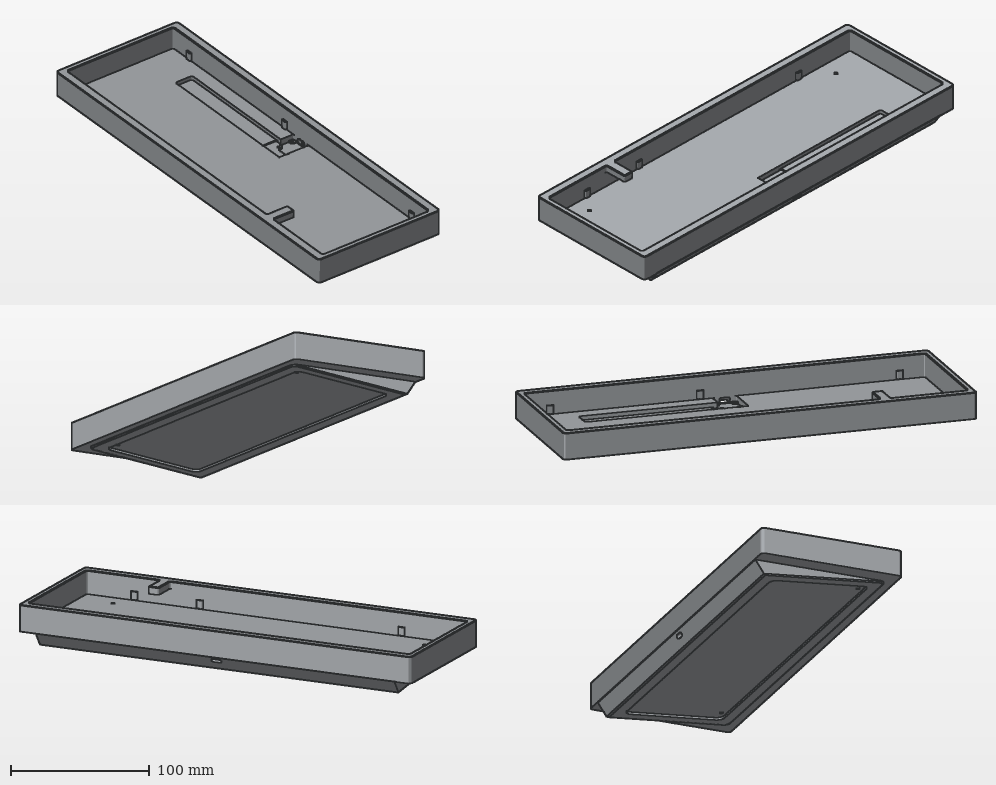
import cadquery as cq
import math

length = 314.8
width = 110.2
body_height = 20.0
corner_radius = 2.8
top_chamfer = 0.47

side_wall = 4.7
long_wall = 7.2
floor_thickness = 2.8
cavity_radius = 2.0
rim_chamfer = 0.5
rim_chamfer_angle = 45
cavity_length = length - 2 * side_wall
cavity_width = width - 2 * long_wall
cavity_depth = body_height - floor_thickness
cavity_rear = cavity_width / 2

foot_length = 287.7
foot_depth = 10.7
foot_front = -48.0
foot_front_depth = 1.1
foot_low_rear = 47.2
foot_rear = 54.5
foot_corner_radius = 5.0
foot_edge_chamfer = 1.0
foot_slope_drop = foot_depth - foot_front_depth
foot_slope_run = foot_low_rear - foot_front
foot_tilt = math.degrees(math.atan2(foot_slope_drop, foot_slope_run))

recess_margin = 9.5
recess_depth = 2.0

block_x = 90.0
block_width = 8.2
block_length = 18.5
block_thickness = 5.7
block_radius = 1.3

bump_width = 5.0
bump_reach = 1.5
bump_height = 6.3
bump_radius = 1.0
rear_bump_x = (-133.0, -19.0, 133.0)
front_bump_x = (-100.0, 61.7, 114.3)

floor_hole_diameter = 2.5
floor_hole_x = 125.0
floor_hole_y = -34.3

channel_left = -115.2
channel_front = 21.5
channel_rear = 36.5
channel_depth = 3.8
channel_radius = 2.0
ledge_left = -14.5
ledge_depth = 4.7
pocket_half_width = 9.0
pocket_corner_radius = 1.3
pocket_front = 31.0
pocket_depth = 5.7

pad_width = 4.0
pad_rear_length = 4.0
pad_front_length = 4.7
pad_radius = 1.5
screw_hole_diameter = 1.6
screw_hole_x = 7.2
screw_hole_y = (33.0, 45.3)
screw_hole_depth = 2.0

port_width = 8.2
port_height = 3.0
port_length = 15.7
port_drop = 3.0


def block(x0, x1, y0, y1, z0, z1):
    """Box between two opposite corners."""
    return cq.Workplane("XY").box(x1 - x0, y1 - y0, z1 - z0, centered=False).translate((x0, y0, z0))


def make_body():
    body = cq.Workplane("XY").rect(length, width).extrude(body_height)
    return body.edges("|Z").fillet(corner_radius).faces(">Z").edges().chamfer(top_chamfer)


def make_foot():
    profile = [
        (foot_front, -foot_front_depth),
        (foot_low_rear, -foot_depth),
        (foot_rear, 0),
        (foot_rear, floor_thickness),
        (foot_front, floor_thickness),
    ]
    foot = cq.Workplane("YZ").polyline(profile).close().extrude(foot_length / 2, both=True)
    outline = block(-foot_length / 2, foot_length / 2, foot_front, width / 2, -foot_depth, floor_thickness)
    foot = foot.intersect(outline.edges("|Z and <Y").fillet(foot_corner_radius))
    slope_normal = cq.Vector(0, -foot_slope_drop, -foot_slope_run)
    slope_face = cq.selectors.DirectionMinMaxSelector(slope_normal, True)
    return foot.faces(slope_face).edges().chamfer(foot_edge_chamfer)


def make_recess():
    slope_length = math.hypot(foot_slope_drop, foot_slope_run)
    recess = (
        cq.Workplane("XY")
        .rect(foot_length - 2 * recess_margin, slope_length - 2 * recess_margin)
        .extrude(2 * recess_depth)
        .edges("|Z")
        .fillet(foot_corner_radius)
        .translate((0, 0, -recess_depth))
        .rotate((0, 0, 0), (1, 0, 0), -foot_tilt)
    )
    return recess.translate((0, (foot_front + foot_low_rear) / 2, -(foot_front_depth + foot_depth) / 2))


def make_cavity():
    cavity = (
        cq.Workplane("XY", origin=(0, 0, floor_thickness))
        .rect(cavity_length, cavity_width)
        .extrude(cavity_depth)
        .edges("|Z")
        .fillet(cavity_radius)
    )
    front_block = block(
        block_x - block_width / 2, block_x + block_width / 2,
        -width / 2, block_length - cavity_rear, body_height - block_thickness, body_height,
    )
    cavity = cavity.cut(front_block)
    block_edges = cq.selectors.BoxSelector(
        (block_x - block_width, -width / 2, 0),
        (block_x + block_width, block_length - cavity_rear + block_radius, body_height),
    )
    cavity = cavity.edges("|Z").edges(block_edges).fillet(block_radius)
    rim = cavity.faces(">Z").wires().toPending().extrude(rim_chamfer, taper=-rim_chamfer_angle)
    return cavity.union(rim.translate((0, 0, -rim_chamfer)))


def make_bump(x, side):
    """Bump on the rear (side = 1) or front (side = -1) wall."""
    bump = block(-bump_width / 2, bump_width / 2, -bump_reach, bump_reach, 0, bump_height)
    bump = bump.edges("|Z").fillet(bump_radius)
    return bump.translate((x, side * cavity_rear, floor_thickness))


def make_pocket():
    top = floor_thickness
    bottom = top - pocket_depth
    pocket = block(-pocket_half_width, pocket_half_width, pocket_front, cavity_rear, bottom, top)
    pocket = pocket.edges("|Z and >Y").fillet(pocket_corner_radius)
    pad_top = top - ledge_depth
    for side in (-1, 1):
        for y, pad_length in ((pocket_front, pad_front_length), (cavity_rear, pad_rear_length)):
            pad = (
                cq.Workplane("XY", origin=(0, 0, bottom))
                .rect(2 * pad_width, 2 * pad_length)
                .extrude(pad_top - bottom)
                .edges("|Z")
                .fillet(pad_radius)
            )
            pocket = pocket.cut(pad.translate((side * pocket_half_width, y, 0)))
    return pocket.edges("|Z and <Y").fillet(pocket_corner_radius)


def make_screw_holes():
    points = [(side * screw_hole_x, y) for side in (-1, 1) for y in screw_hole_y]
    holes = cq.Workplane("XY", origin=(0, 0, floor_thickness - ledge_depth)).pushPoints(points)
    return holes.circle(screw_hole_diameter / 2).extrude(-screw_hole_depth)


def make_channel():
    top = floor_thickness
    channel = block(channel_left, pocket_half_width, channel_front, channel_rear, top - channel_depth, top)
    channel = channel.edges("|Z and <X").fillet(channel_radius)
    ledge = block(ledge_left, pocket_half_width, channel_front, channel_rear, top - ledge_depth, top)
    ledge = ledge.edges("|Z and <X").fillet(channel_radius)
    return channel.union(ledge)


def make_port():
    """Slot running square to the sloping rear face of the foot."""
    port = cq.Workplane("XZ").slot2D(port_width, port_height).extrude(-port_length)
    port = port.translate((0, -port_length / 2, 0))
    descent = math.degrees(math.atan2(foot_rear - foot_low_rear, foot_depth))
    port = port.rotate((0, 0, 0), (1, 0, 0), -descent)
    face_y = foot_rear - port_drop * (foot_rear - foot_low_rear) / foot_depth
    return port.translate((0, face_y, -port_drop))


def make_floor_holes():
    points = [(-floor_hole_x, floor_hole_y), (floor_hole_x, floor_hole_y)]
    holes = cq.Workplane("XY", origin=(0, 0, -foot_depth)).pushPoints(points)
    return holes.circle(floor_hole_diameter / 2).extrude(foot_depth + floor_thickness)


result = make_body().union(make_foot()).cut(make_recess())
result = result.cut(make_cavity())
for bump_x in rear_bump_x:
    result = result.union(make_bump(bump_x, 1))
for bump_x in front_bump_x:
    result = result.union(make_bump(bump_x, -1))
for cutter in (make_channel(), make_pocket(), make_screw_holes(), make_port(), make_floor_holes()):
    result = result.cut(cutter)